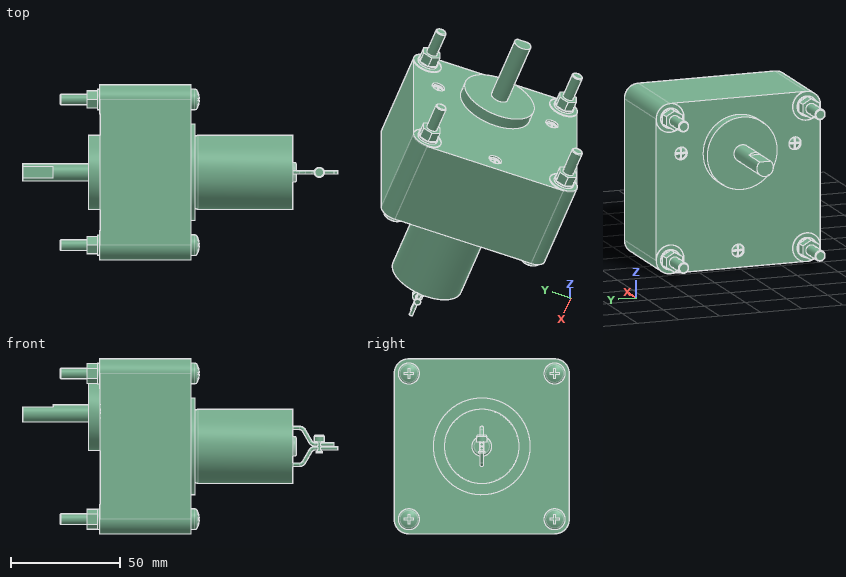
import cadquery as cq
import math

HOUSING_SIDE = 80.0
HOUSING_END = 40.0
CORNER_RADIUS = 6.75
PAD_HEIGHT = 0.45
FACE_X = PAD_HEIGHT
COVER_THICKNESS = 1.9
COVER_END = HOUSING_END + COVER_THICKNESS
BOLT_OFFSET = HOUSING_SIDE / 2 - CORNER_RADIUS

SHAFT_Z = 15.0
SHAFT_DIAMETER = 8.0
SHAFT_LENGTH = 30.0
SHAFT_FLAT_LENGTH = 14.0
SHAFT_FLAT_HEIGHT = 3.0
BEARING_DIAMETER = 34.0
BEARING_HEIGHT = 5.0
BEARING_X = -BEARING_HEIGHT
SHAFT_TIP_X = BEARING_X - SHAFT_LENGTH

BOLT_DIAMETER = 5.0
BOLT_TIP_X = -17.9
BOLT_TIP_CHAMFER = 0.4
WASHER_DIAMETER = 9.4
WASHER_THICKNESS = 0.9
NUT_ACROSS_FLATS = 8.0
NUT_THICKNESS = 4.8
HEAD_DIAMETER = 9.6
HEAD_RIM_HEIGHT = 2.3
HEAD_HEIGHT = 3.8
HEAD_FILLET = 1.4
HEAD_SLOT_WIDTH = 0.9
HEAD_SLOT_LENGTH = 4.4
HEAD_SLOT_DEPTH = 1.5

FACE_SCREW_CIRCLE_RADIUS = 32.0
FACE_SCREW_ANGLES = (30, 150, 270)
FACE_SCREW_DIAMETER = 6.0
FACE_SCREW_POCKET_DEPTH = 2.5
FACE_SCREW_RIM_HEIGHT = 1.6
FACE_SCREW_HEIGHT = 2.4
FACE_SCREW_FILLET = 0.9
FACE_SCREW_SLOT_LENGTH = 4.4
FACE_SCREW_SLOT_WIDTH = 0.6
FACE_SCREW_SLOT_DEPTH = 1.0

FLANGE_DIAMETER = 44.2
FLANGE_THICKNESS = 1.8
FLANGE_END = COVER_END + FLANGE_THICKNESS
MOTOR_DIAMETER = 34.0
MOTOR_LENGTH = 44.6
MOTOR_EDGE_LENGTH = 1.3
MOTOR_EDGE_DROP = 0.4
MOTOR_END = FLANGE_END + MOTOR_LENGTH
END_BOSS_DIAMETER = 9.0
END_BOSS_HEIGHT = 1.7
END_BOSS_FILLET = 1.0

OVERALL_LENGTH = 143.92
WIRE_DIAMETER = 1.65
WIRE_ROOT_Z = 8.4
WIRE_EMBED = 1.0
LONG_WIRE_END = SHAFT_TIP_X + OVERALL_LENGTH
SHORT_WIRE_END = LONG_WIRE_END - 1.8
WIRE_PAIR_Z = 0.9
WIRE_STRAIGHT = 3.1
WIRE_BEND_RADIUS = 2.3
WIRE_BEND_ANGLE = 60.0
CAP_X = MOTOR_END + 12.1
CAP_DIAMETER = 4.6
CAP_BASE_Z = 2.0
CAP_TOP_Z = 5.1
CAP_RIM_HEIGHT = 0.7
CAP_RIM_DROP = 0.3
STEM_DIAMETER = 1.9
FOOT_DIAMETER = 3.0
FOOT_TOP_Z = -2.3
FOOT_BOTTOM_Z = -3.0


def disc(x_start, x_end, diameter, y=0, z=0):
    """Cylinder along X."""
    plane = cq.Workplane("YZ", origin=(x_start, y, z))
    return plane.circle(diameter / 2).extrude(x_end - x_start)


def post(z_start, z_end, diameter, x):
    """Cylinder along Z."""
    plane = cq.Workplane("XY", origin=(x, 0, z_start))
    return plane.circle(diameter / 2).extrude(z_end - z_start)


def domed_head(diameter, rim_height, total_height, rim_fillet):
    """Shallow domed head with a rounded rim, standing on the YZ plane and rising toward +X."""
    dome = total_height - rim_height
    sphere_radius = ((diameter / 2) ** 2 + dome**2) / (2 * dome)
    sphere_center = (total_height - sphere_radius, 0, 0)
    sphere = cq.Workplane("YZ", origin=sphere_center).sphere(sphere_radius)
    head = disc(0, total_height, diameter).intersect(sphere)
    rim = cq.selectors.NearestToPointSelector((rim_height, 0, 0))
    return head.edges(rim).fillet(rim_fillet)


def cross_slot(x_top, length, width, depth):
    """Cross-shaped cutter reaching the given depth below x_top."""
    bar = cq.Workplane("XY").box(2 * depth, length, width)
    cross = bar.union(bar.rotate((0, 0, 0), (1, 0, 0), 90))
    return cross.translate((x_top, 0, 0))


def housing():
    return (
        cq.Workplane("YZ", origin=(FACE_X, 0, 0))
        .rect(HOUSING_SIDE, HOUSING_SIDE)
        .extrude(COVER_END - FACE_X)
        .edges("|X")
        .fillet(CORNER_RADIUS)
    )


def output_shaft():
    shaft = disc(SHAFT_TIP_X, FACE_X, SHAFT_DIAMETER, z=SHAFT_Z)
    flat_cut = cq.Workplane("XY").box(
        SHAFT_FLAT_LENGTH, SHAFT_DIAMETER, SHAFT_DIAMETER, centered=(False, True, False)
    )
    shaft = shaft.cut(flat_cut.translate((SHAFT_TIP_X, 0, SHAFT_Z + SHAFT_FLAT_HEIGHT)))
    return shaft.union(disc(BEARING_X, FACE_X, BEARING_DIAMETER, z=SHAFT_Z))


def corner_bolt():
    """Bolt on the X axis with its pad, washer, nut and slotted head."""
    pad = disc(0, FACE_X, 2 * CORNER_RADIUS)
    washer = disc(-WASHER_THICKNESS, 0, WASHER_DIAMETER)
    corner_diameter = NUT_ACROSS_FLATS / math.cos(math.pi / 6)
    nut = (
        cq.Workplane("YZ", origin=(-WASHER_THICKNESS - NUT_THICKNESS, 0, 0))
        .polygon(6, corner_diameter)
        .extrude(NUT_THICKNESS)
        .rotate((0, 0, 0), (1, 0, 0), 90)
    )
    stud = disc(BOLT_TIP_X, FACE_X, BOLT_DIAMETER).faces("<X").chamfer(BOLT_TIP_CHAMFER)
    head = domed_head(HEAD_DIAMETER, HEAD_RIM_HEIGHT, HEAD_HEIGHT, HEAD_FILLET)
    head = head.cut(cross_slot(HEAD_HEIGHT, HEAD_SLOT_LENGTH, HEAD_SLOT_WIDTH, HEAD_SLOT_DEPTH))
    return pad.union(washer).union(nut).union(stud).union(head.translate((COVER_END, 0, 0)))


def face_screw_head():
    """Domed cross-slotted head facing -X, standing on the YZ plane."""
    head = domed_head(
        FACE_SCREW_DIAMETER, FACE_SCREW_RIM_HEIGHT, FACE_SCREW_HEIGHT, FACE_SCREW_FILLET
    )
    slot = cross_slot(
        FACE_SCREW_HEIGHT, FACE_SCREW_SLOT_LENGTH, FACE_SCREW_SLOT_WIDTH, FACE_SCREW_SLOT_DEPTH
    )
    return head.cut(slot).rotate((0, 0, 0), (0, 0, 1), 180)


def motor():
    flange = disc(COVER_END, FLANGE_END, FLANGE_DIAMETER)
    can = disc(FLANGE_END, MOTOR_END, MOTOR_DIAMETER)
    can = can.faces("<X").edges().chamfer(MOTOR_EDGE_LENGTH, MOTOR_EDGE_DROP)
    boss = disc(MOTOR_END, MOTOR_END + END_BOSS_HEIGHT, END_BOSS_DIAMETER)
    boss = boss.faces(">X").edges().fillet(END_BOSS_FILLET)
    return flange.union(can).union(boss)


def wire(side, end_x):
    """Wire leaving the motor at side * WIRE_ROOT_Z and bending in to run along X.

    Two equal arcs joined by a slanted straight take it from the root to the pair spacing.
    """
    angle = math.radians(WIRE_BEND_ANGLE)
    arc_x = WIRE_BEND_RADIUS * math.sin(angle)
    arc_drop = WIRE_BEND_RADIUS * (1 - math.cos(angle))
    slant_drop = WIRE_ROOT_Z - WIRE_PAIR_Z - 2 * arc_drop
    start_x = MOTOR_END - WIRE_EMBED
    bend_x = MOTOR_END + WIRE_STRAIGHT
    slant_start = (bend_x + arc_x, side * (WIRE_ROOT_Z - arc_drop))
    slant_end = (slant_start[0] + slant_drop / math.tan(angle), side * (WIRE_PAIR_Z + arc_drop))
    pair_start = (slant_end[0] + arc_x, side * WIRE_PAIR_Z)
    path = (
        cq.Workplane("XZ")
        .moveTo(start_x, side * WIRE_ROOT_Z)
        .lineTo(bend_x, side * WIRE_ROOT_Z)
        .tangentArcPoint(slant_start, relative=False)
        .lineTo(*slant_end)
        .tangentArcPoint(pair_start, relative=False)
        .lineTo(end_x, side * WIRE_PAIR_Z)
    )
    section = cq.Workplane("YZ", origin=(start_x, 0, side * WIRE_ROOT_Z))
    return section.circle(WIRE_DIAMETER / 2).sweep(path)


def capacitor():
    can = post(CAP_BASE_Z, CAP_TOP_Z, CAP_DIAMETER, CAP_X)
    can = can.faces(">Z").edges().chamfer(CAP_RIM_HEIGHT, CAP_RIM_DROP)
    stem = post(FOOT_TOP_Z, CAP_BASE_Z, STEM_DIAMETER, CAP_X)
    foot = post(FOOT_BOTTOM_Z, FOOT_TOP_Z, FOOT_DIAMETER, CAP_X)
    return can.union(stem).union(foot)


def face_screw_places():
    """Y and Z of each face screw."""
    angles = [math.radians(degrees) for degrees in FACE_SCREW_ANGLES]
    radius = FACE_SCREW_CIRCLE_RADIUS
    return [(radius * math.cos(angle), radius * math.sin(angle)) for angle in angles]


def build():
    part = housing().union(output_shaft()).union(motor())
    bolt = corner_bolt()
    for y_side in (-1, 1):
        for z_side in (-1, 1):
            part = part.union(bolt.translate((0, y_side * BOLT_OFFSET, z_side * BOLT_OFFSET)))
    screw_head = face_screw_head()
    pocket_floor = FACE_X + FACE_SCREW_POCKET_DEPTH
    for y, z in face_screw_places():
        part = part.cut(disc(FACE_X, pocket_floor, FACE_SCREW_DIAMETER, y, z))
        part = part.union(screw_head.translate((pocket_floor, y, z)))
    part = part.union(wire(1, SHORT_WIRE_END)).union(wire(-1, LONG_WIRE_END))
    return part.union(capacitor())


result = build()